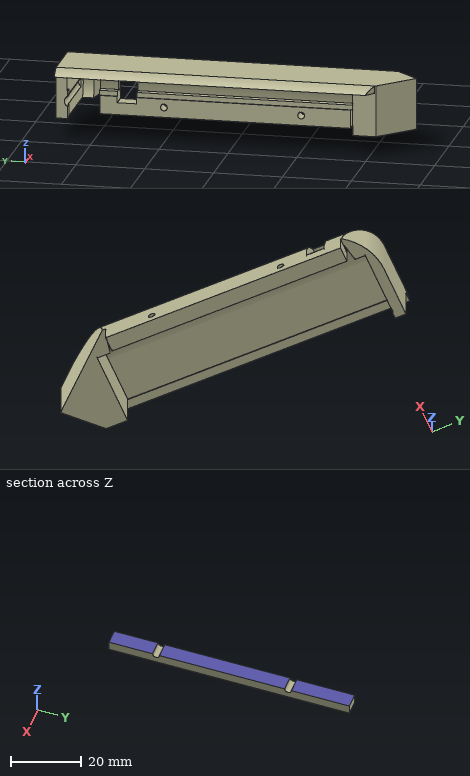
import cadquery as cq

width = 32.2
length = 102.7
total_height = 20.5
flange_drop = 5.4
body_height = total_height - flange_drop
roof_thickness = 1.8
EXTRA = 5.1

side_x = 2.8
roof_end_x = 18.6
lip_height = 2.2
lip_bulge = 0.1
round_mid = (27.5, flange_drop + 10.3)

tip_x = 12.6
tip_facet = (13.7, 1.0)
left_shoulder_y = 12.3
lip_root_y = 10.2
tip_step = (0.1, 0.4)
right_shoulder_y = 21.4
rear_round_radius = 16.8
rear_round_start_x = 18.4

cavity_front_y = 16.5
cavity_rear_y = 99.5
cavity_top_z = total_height - roof_thickness
cavity_center_x = 16.6
bore_radius = 9.0
chamber_radius = body_height - roof_thickness
chamber_right_x = cavity_center_x + chamber_radius
chamber_front_y = 20.5
chamber_rear_y = 96.3
taper_length = 1.0

flange_x = 27.6
flange_front_y = 22.4
flange_rear_y = 95.1
ledge_x = 27.9
ledge_height = 1.4
hole_diameter = 2.0
hole_ys = (36.7, 76.5)
hole_z = 3.0

window_y = (84.5, 90.0)
window_z = (3.6, 15.7)
window_x = 22.6

groove_radius = 1.5
groove_center_y = 98.7
groove_z = flange_drop + 5.1
groove_end_x = 22.6
pad_width = 2.0
pad_height = 8.3
pad_thickness = 0.2


def box(x_range, y_range, z_range):
    size = [high - low for low, high in (x_range, y_range, z_range)]
    corner = (x_range[0], y_range[0], z_range[0])
    return cq.Workplane("XY").box(*size, centered=False).translate(corner)


def section_plane(y):
    """XZ sketch plane at y; a negative extrusion runs toward +Y."""
    return cq.Workplane(cq.Plane(origin=(0, y, 0), xDir=(1, 0, 0), normal=(0, -1, 0)))


def outer_profile():
    lip_bottom_z = total_height - lip_height
    lip_mid = (side_x / 2 - lip_bulge, total_height - lip_height / 2 + lip_bulge)
    return (
        section_plane(0)
        .moveTo(side_x, flange_drop)
        .lineTo(side_x, lip_bottom_z)
        .lineTo(0, lip_bottom_z)
        .threePointArc(lip_mid, (side_x, total_height))
        .lineTo(roof_end_x, total_height)
        .threePointArc(round_mid, (width, flange_drop))
        .close()
        .extrude(-length)
    )


def plan_outline():
    run = width - rear_round_start_x
    center_y = length - rear_round_radius
    rear_corner_y = center_y + (rear_round_radius**2 - run**2) ** 0.5
    mid_run = run / 2
    round_middle = (
        rear_round_start_x + mid_run,
        center_y + (rear_round_radius**2 - mid_run**2) ** 0.5,
    )
    return (
        cq.Workplane("XY")
        .moveTo(0, left_shoulder_y)
        .lineTo(side_x, lip_root_y)
        .lineTo(side_x + tip_step[0], lip_root_y - tip_step[1])
        .lineTo(tip_x, 0)
        .lineTo(*tip_facet)
        .lineTo(width, right_shoulder_y)
        .lineTo(width, rear_corner_y)
        .threePointArc(round_middle, (rear_round_start_x, length))
        .lineTo(0, length)
        .close()
        .extrude(total_height)
    )


def end_pocket():
    """Round bore along Y, opened out to the left below the lip."""
    depth = cavity_rear_y - cavity_front_y
    y_range = (cavity_front_y, cavity_rear_y)
    bore = (
        section_plane(cavity_front_y)
        .center(cavity_center_x, cavity_top_z - bore_radius)
        .circle(bore_radius)
        .extrude(-depth)
    )
    opening = box((side_x, cavity_center_x), y_range, (0, cavity_top_z))
    under_lip = box((0, side_x), y_range, (0, total_height - lip_height))
    return bore.union(opening).union(under_lip)


def rounded_section(y, radius):
    """Right half of a round-topped section at y, with its arc ending at the body bottom."""
    rise = flange_drop - (cavity_top_z - radius)
    right_x = cavity_center_x + (radius**2 - rise**2) ** 0.5
    return (
        section_plane(y)
        .moveTo(cavity_center_x, 0)
        .lineTo(cavity_center_x, cavity_top_z)
        .radiusArc((right_x, flange_drop), radius)
        .lineTo(right_x, 0)
        .close()
    )


def taper(bore_y, chamber_y):
    """Transition from the bore section to the chamber section."""
    bore_wire = rounded_section(bore_y, bore_radius).val()
    chamber_wire = rounded_section(chamber_y, chamber_radius).val()
    return cq.Workplane(cq.Solid.makeLoft([bore_wire, chamber_wire], True))


def wide_chamber():
    """Quarter-round chamber behind the outer round, tapering into the bore at both ends."""
    front_y = chamber_front_y + taper_length
    rear_y = chamber_rear_y - taper_length
    middle = rounded_section(front_y, chamber_radius).extrude(front_y - rear_y)
    return middle.union(taper(chamber_front_y, front_y)).union(taper(chamber_rear_y, rear_y))


def flange():
    y_range = (flange_front_y, flange_rear_y)
    ledge_range = (chamber_front_y + taper_length, chamber_rear_y - taper_length)
    plate = box((flange_x, width), y_range, (0, flange_drop))
    ledge_top = flange_drop + ledge_height
    ledge = box((ledge_x, chamber_right_x), ledge_range, (flange_drop, ledge_top))
    return plate.union(ledge)


def flange_holes():
    return (
        cq.Workplane("YZ")
        .pushPoints([(y, hole_z) for y in hole_ys])
        .circle(hole_diameter / 2)
        .extrude(width + EXTRA)
    )


def cable_groove():
    return (
        cq.Workplane("YZ")
        .center(groove_center_y, groove_z)
        .circle(groove_radius)
        .extrude(groove_end_x)
    )


body = outer_profile().intersect(plan_outline())
body = body.cut(end_pocket()).cut(wide_chamber()).union(flange())

pad = box(
    (side_x, side_x + pad_width),
    (cavity_rear_y - pad_thickness, cavity_rear_y),
    (flange_drop, flange_drop + pad_height),
)
body = body.union(pad).cut(cable_groove())

window = box((window_x, width + EXTRA), window_y, window_z)
result = body.cut(window).cut(flange_holes())